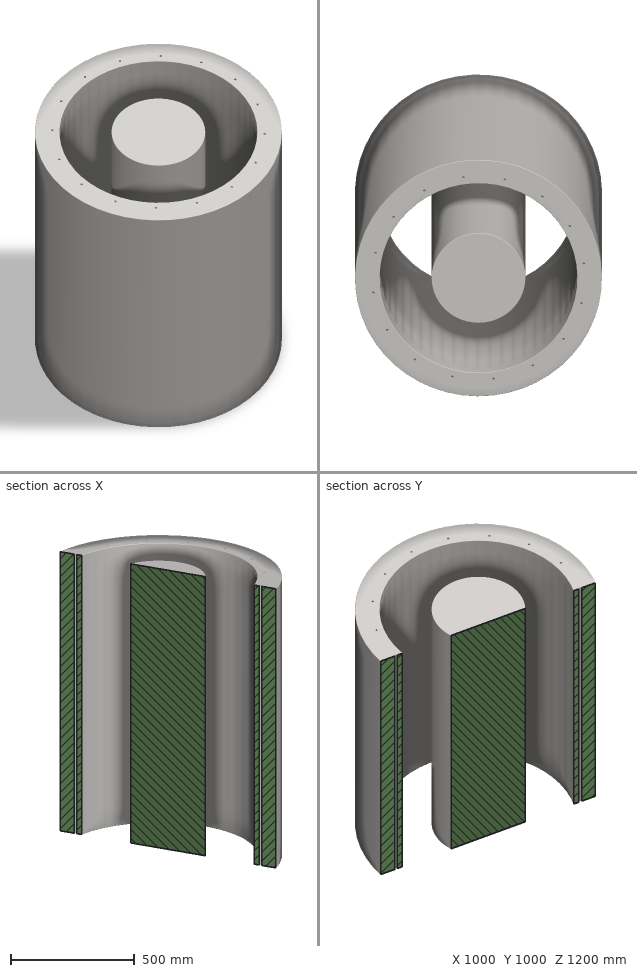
import cadquery as cq

height = 1200.0
ring_outer_diameter = 1000.0
ring_inner_diameter = 800.0
core_diameter = 380.0
rim_fillet = 2.0

hole_count = 16
hole_diameter = 10.0
hole_circle_radius = 430.0
first_hole_angle = 360.0 / hole_count / 2


def round_rims(body):
    """Round the circular edges of the top and bottom faces."""
    return body.faces("<Z or >Z").edges().fillet(rim_fillet)


def make_ring():
    """Thick-walled tube standing on Z = 0, with a circle of through holes in its wall."""
    tube = (
        cq.Workplane("XY")
        .circle(ring_outer_diameter / 2)
        .circle(ring_inner_diameter / 2)
        .extrude(height)
    )
    holes = (
        cq.Workplane("XY")
        .polarArray(hole_circle_radius, first_hole_angle, 360, hole_count)
        .circle(hole_diameter / 2)
        .extrude(height)
    )
    return round_rims(tube).cut(holes)


def make_core():
    """Solid cylinder on the ring's axis, as tall as the ring."""
    cylinder = cq.Workplane("XY").circle(core_diameter / 2).extrude(height)
    return round_rims(cylinder)


ring = make_ring()
core = make_core()

result = cq.Compound.makeCompound([ring.solids().val(), core.solids().val()])